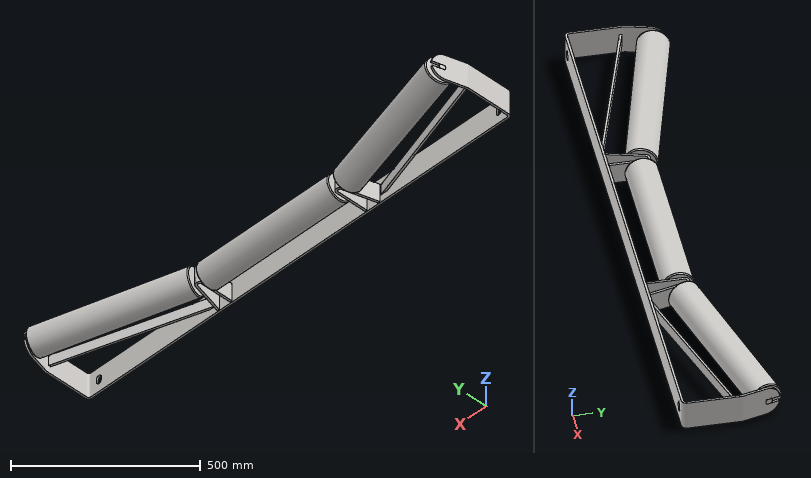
import cadquery as cq
import math


frame_length = 1600.0
strip_width = 85.0
strip_thickness = 7.2
frame_bottom_z = 11.0
corner_radius = 15.0
flange_bend_y = 163.0
flange_bend_radius = 15.0
flange_end_center_y = 229.0
trough_angle = 15.0

hole_spacing = 1510.0
hole_width = 18.0
hole_height = 27.0

roller_radius = 45.0
roller_length = 500.0
roller_end_chamfer = 3.0
roller_axis_z = 45.0
shaft_radius = 10.0
shaft_flat_width = 15.0
middle_roller_y = 100.0
wing_roller_inner_x = 285.0
wing_roller_inner_y = 105.0
wing_roller_outer_rise = 6.0

bracket_height = 60.0
bracket_top_y = 126.0
bracket_straight_x = 251.0
bracket_slant_foot_x = 307.0
bracket_corner_radius = 13.0

strut_height = 35.0
strut_foot_x = 310.0
strut_top_y = 155.0

clearance = 16.0
flange_stock_y = 320.0

half_length = frame_length / 2
frame_mid_z = frame_bottom_z + strip_width / 2
lean = math.radians(trough_angle)
base_top_y = strip_thickness
strut_angle = math.atan2(strut_top_y - base_top_y, half_length - strip_thickness - strut_foot_x)


def flange_x(y):
    """Outer face of the right leaning flange at height y."""
    return half_length - (y - flange_bend_y) * math.tan(lean)


def slant_x(y):
    """Face of the right bracket's slanted leg that looks at the wing roller, at height y."""
    return bracket_slant_foot_x - (y - base_top_y) * math.tan(lean)


flange_reach = (flange_x(wing_roller_inner_y) - wing_roller_inner_x) * math.cos(lean)
slant_reach = (wing_roller_inner_x - slant_x(wing_roller_inner_y)) * math.cos(lean) + strip_thickness
middle_reach = bracket_straight_x + strip_thickness - roller_length / 2

wing_plane = cq.Plane(
    origin=(wing_roller_inner_x, wing_roller_inner_y, roller_axis_z),
    xDir=(-math.sin(lean), math.cos(lean), 0),
    normal=(math.cos(lean), math.sin(lean), wing_roller_outer_rise / roller_length),
)
middle_plane = cq.Plane(
    origin=(-roller_length / 2, middle_roller_y, roller_axis_z),
    xDir=(0, 1, 0),
    normal=(1, 0, 0),
)


def both_sides(work):
    """The right-hand shape and its mirror image on the left."""
    return [work, work.mirror("YZ")]


def shaft_bar(plane, start, end):
    """Round bar with two flats, between two distances along the roller axis."""
    bar = cq.Workplane(plane).workplane(offset=start).circle(shaft_radius).extrude(end - start)
    flats = (
        cq.Workplane(plane).workplane(offset=start)
        .rect(2 * shaft_radius, shaft_flat_width).extrude(end - start)
    )
    return bar.intersect(flats)


def make_roller(plane, start, end):
    """Drum with chamfered rims on a shaft that runs from start to end along the axis."""
    drum = cq.Workplane(plane).circle(roller_radius).extrude(roller_length)
    drum = drum.edges("%CIRCLE").chamfer(roller_end_chamfer)
    return drum.union(shaft_bar(plane, start, end))


def make_flange_end_cutter():
    """Trims the right flange to a round end and opens the shaft slot in it."""
    reach = 2 * strip_width
    flange_plane = cq.Plane(
        origin=(flange_x(flange_end_center_y), flange_end_center_y, frame_mid_z),
        xDir=(-math.sin(lean), math.cos(lean), 0),
        normal=(math.cos(lean), math.sin(lean), 0),
    )
    beyond = cq.Workplane(flange_plane).center(reach / 2, 0).rect(reach, reach).extrude(strip_width, both=True)
    round_end = cq.Workplane(flange_plane).circle(strip_width / 2).extrude(strip_width, both=True)
    slot = (
        cq.Workplane(wing_plane).workplane(offset=roller_length)
        .center(reach / 2, 0).rect(reach, shaft_flat_width).extrude(flange_reach - roller_length + clearance)
    )
    seat = shaft_bar(wing_plane, roller_length, flange_reach + clearance)
    return beyond.cut(round_end).union(slot).union(seat)


def make_frame():
    """Base with a bent-up side plate and leaning flange at each end, slotted for the wing shafts."""
    right_side = [(half_length, 0), (half_length, flange_bend_y), (flange_x(flange_stock_y), flange_stock_y)]
    left_side = [(-x, y) for x, y in reversed(right_side)]
    block = (
        cq.Workplane("XY").workplane(offset=frame_bottom_z)
        .polyline(right_side + left_side).close().extrude(strip_width)
    )
    block = block.edges("|Z and <Y").fillet(corner_radius)
    bends = cq.selectors.BoxSelector(
        (-half_length - clearance, flange_bend_y - clearance, 0),
        (half_length + clearance, flange_bend_y + clearance, frame_bottom_z + strip_width),
    )
    block = block.edges("|Z").edges(bends).fillet(flange_bend_radius)
    frame = block.faces("|Z or >Y").shell(-strip_thickness)
    for cutter in both_sides(make_flange_end_cutter()):
        frame = frame.cut(cutter)
    holes = (
        cq.Workplane("XZ").center(0, frame_mid_z).pushPoints([(-hole_spacing / 2, 0), (hole_spacing / 2, 0)])
        .slot2D(hole_height, hole_width, 90).extrude(-strip_thickness)
    )
    return frame.cut(holes)


def make_bracket():
    """Right bracket: a straight leg at the middle roller and a slanted leg at the wing roller."""
    outline = [
        (bracket_straight_x, base_top_y),
        (bracket_straight_x, bracket_top_y),
        (slant_x(bracket_top_y), bracket_top_y),
        (bracket_slant_foot_x, base_top_y),
    ]
    block = (
        cq.Workplane("XY").workplane(offset=roller_axis_z - bracket_height / 2)
        .polyline(outline).close().extrude(bracket_height)
    )
    block = block.edges("|Z and >Y").fillet(bracket_corner_radius)
    bracket = block.faces("|Z or <Y").shell(-strip_thickness)
    bracket = bracket.cut(shaft_bar(wing_plane, -slant_reach, 0))
    return bracket.cut(shaft_bar(middle_plane, roller_length, roller_length + middle_reach))


def make_strut():
    """Right strut: a slanted strip from the base to the side plate, cut flush at both."""
    drop = strip_thickness / math.cos(strut_angle)
    shift = strip_thickness / math.sin(strut_angle)
    side_x = half_length - strip_thickness
    outline = [
        (strut_foot_x, base_top_y),
        (strut_foot_x + shift, base_top_y),
        (side_x, strut_top_y - drop),
        (side_x, strut_top_y),
    ]
    return (
        cq.Workplane("XY").workplane(offset=frame_mid_z - strut_height / 2)
        .polyline(outline).close().extrude(strut_height)
    )


frame = make_frame()
brackets = both_sides(make_bracket())
struts = both_sides(make_strut())
middle_roller = make_roller(middle_plane, -middle_reach, roller_length + middle_reach)
wing_rollers = both_sides(make_roller(wing_plane, -slant_reach, flange_reach))

bodies = [frame, middle_roller, *brackets, *struts, *wing_rollers]
result = cq.Compound.makeCompound([body.val() for body in bodies])